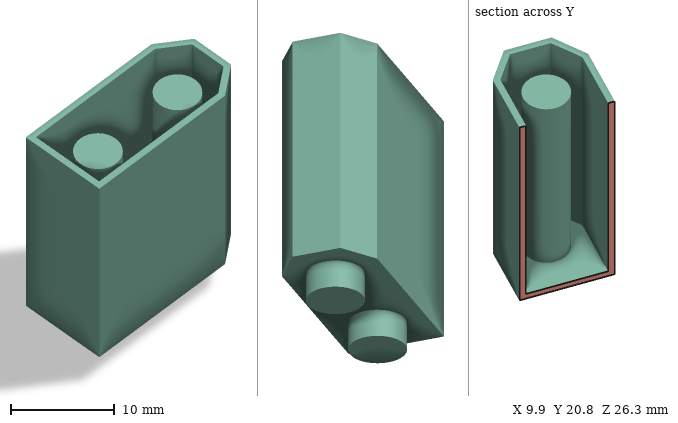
import cadquery as cq

width = 9.9
length = 20.8
total_height = 26.3
wall = 0.7
floor_thickness = wall
corner_cut_x = width / 4
corner_cut_y = 3.4

pin_count = 2
shank_diameter = 4.8
foot_diameter = 5.7
foot_height = 2.85
pin_recess = 2.0
pin_spacing = 11.0
first_pin_y = 4.9

housing_height = total_height - foot_height
shank_height = housing_height - pin_recess
pin_positions = [(0, first_pin_y + i * pin_spacing) for i in range(pin_count)]


def housing_outline():
    """Outline of the housing, with its -Y side on the X axis."""
    side_x = width / 2
    shoulder_y = length - corner_cut_y
    back_x = side_x - corner_cut_x
    return cq.Workplane("XY").polyline(
        [
            (-side_x, 0),
            (side_x, 0),
            (side_x, shoulder_y),
            (back_x, length),
            (-back_x, length),
            (-side_x, shoulder_y),
        ]
    ).close()


def make_housing():
    """Housing with an even wall, a flat floor and a fitted hole for each pin shank."""
    outside = housing_outline().extrude(housing_height)
    cavity = (
        housing_outline()
        .offset2D(-wall, "intersection")
        .extrude(housing_height - floor_thickness)
        .translate((0, 0, floor_thickness))
    )
    pin_holes = (
        cq.Workplane("XY")
        .pushPoints(pin_positions)
        .circle(shank_diameter / 2)
        .extrude(floor_thickness)
    )
    return outside.cut(cavity).cut(pin_holes)


def make_pin(x, y):
    """Stepped pin whose foot bears against the underside of the housing."""
    shank = cq.Workplane("XY").circle(shank_diameter / 2).extrude(shank_height)
    foot = cq.Workplane("XY").circle(foot_diameter / 2).extrude(-foot_height)
    return shank.union(foot).translate((x, y, 0))


housing = make_housing()
pins = [make_pin(x, y) for x, y in pin_positions]

result = cq.Compound.makeCompound([housing.val(), *[pin.val() for pin in pins]])